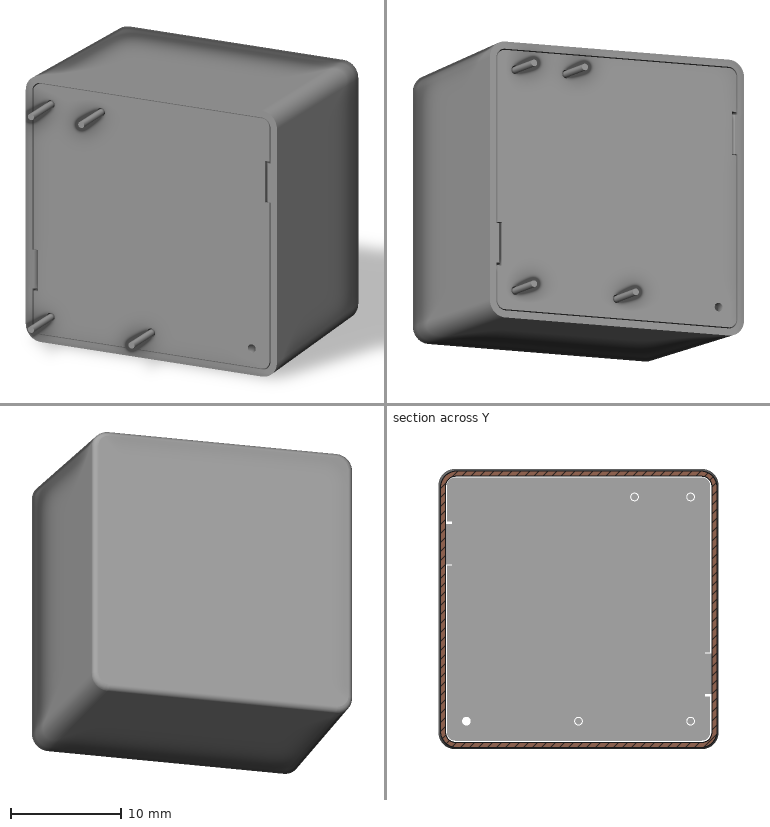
import cadquery as cq

case_width = 25.4
case_depth = 17.73
draft_angle = 1.2
corner_radius = 1.52
back_fillet = 0.48
wall = 0.65

lid_gap = 0.1
lid_thickness = 1.0
hole_diameter = 0.8

tab_reach = 0.55
tab_chamfer = 0.33
tab_length = 3.65
tab_center_z = -5.87
notch_length = 4.0
notch_center_z = -5.95

pin_diameter = 0.6
pin_projection = 4.06
pitch = 5.08
pin_row = 2 * pitch
pin_places = [(-pin_row, pin_row), (-pitch, pin_row), (-pin_row, -pin_row), (0, -pin_row)]
spare_hole = (pin_row, -pin_row)

cavity_width = case_width - 2 * wall
cavity_radius = corner_radius - wall
lid_width = cavity_width - 2 * lid_gap
lid_radius = cavity_radius - lid_gap
wall_x = cavity_width / 2


def rounded_block(width, depth, radius, taper=0):
    """Square block from the mouth towards +Y, its sides tapered and its long edges rounded."""
    block = cq.Workplane("XZ").rect(width, width).extrude(-depth, taper=taper)
    return block.edges("not(#Y)").fillet(radius)


def opposite(body):
    """Copy of a body turned half a turn about the Y axis."""
    return body.rotate((0, 0, 0), (0, 1, 0), 180)


def make_tab():
    """Snap tab on the -X wall, as deep as the lid, with a chamfered leading edge."""
    return (
        cq.Workplane("XY", origin=(-wall_x, 0, tab_center_z - tab_length / 2))
        .moveTo(-wall / 2, 0)
        .lineTo(tab_reach - tab_chamfer, 0)
        .lineTo(tab_reach, tab_chamfer)
        .lineTo(tab_reach, lid_thickness)
        .lineTo(-wall / 2, lid_thickness)
        .close()
        .extrude(tab_length)
    )


def make_case():
    """Cup with drafted outer sides and a straight cavity, open towards -Y, with two snap tabs at its mouth."""
    outer = rounded_block(case_width, case_depth, corner_radius, draft_angle)
    outer = outer.faces(">Y").edges().fillet(back_fillet)
    cavity = rounded_block(cavity_width, case_depth - wall, cavity_radius)
    tab = make_tab()
    return outer.cut(cavity).union(tab).union(opposite(tab))


def make_lid():
    """Plate in the mouth, with pin holes and a notch around each snap tab."""
    lid = rounded_block(lid_width, lid_thickness, lid_radius)
    holes = (
        cq.Workplane("XZ").pushPoints(pin_places + [spare_hole]).circle(hole_diameter / 2).extrude(-lid_thickness)
    )
    notch = (
        cq.Workplane("XZ", origin=(-wall_x, 0, notch_center_z))
        .rect(2 * tab_reach, notch_length)
        .extrude(-lid_thickness)
    )
    return lid.cut(holes).cut(notch).cut(opposite(notch))


def make_pin(x, z):
    """Round pin from the lid's inner face out beyond the mouth."""
    return (
        cq.Workplane("XZ", origin=(x, lid_thickness, z))
        .circle(pin_diameter / 2)
        .extrude(lid_thickness + pin_projection)
    )


case = make_case()
lid = make_lid()
pins = [make_pin(x, z) for x, z in pin_places]

result = cq.Compound.makeCompound([case.val(), lid.val(), *[pin.val() for pin in pins]])